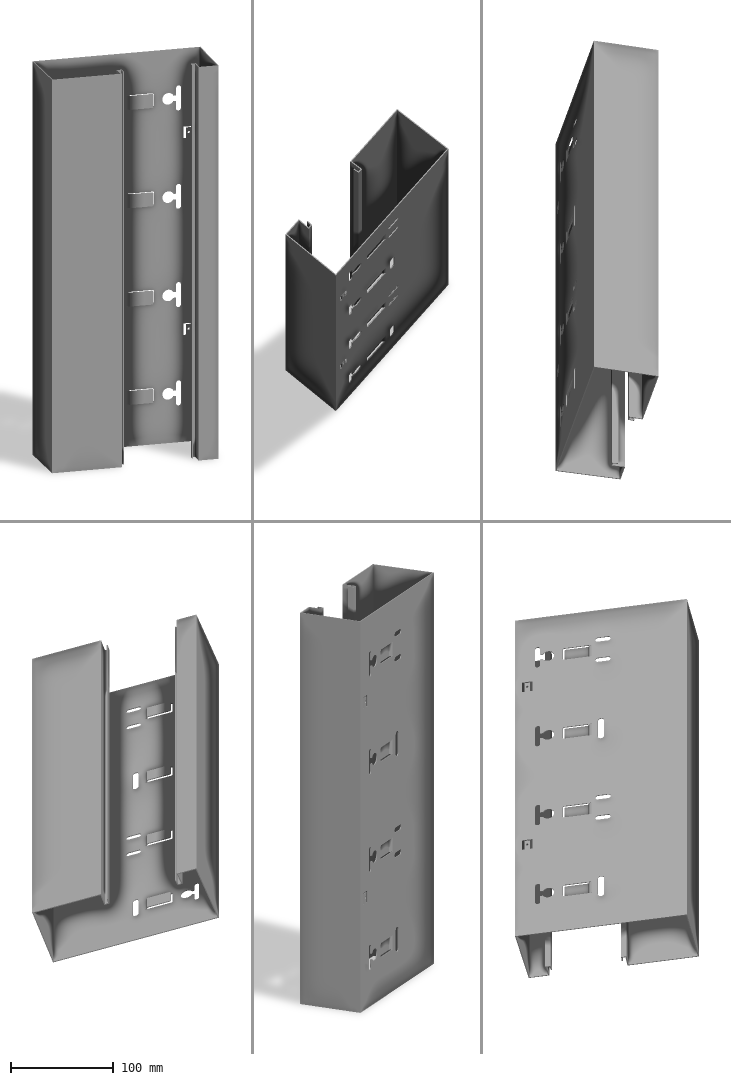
import cadquery as cq
import math

length = 400.0
depth = 65.0
web_width = 170.5
sheet = 1.0
open_side_width = 169.0

upper_lip_y = 64.0
lower_lip_y = -13.5
lip_lean = 0.5
hook_x = 52.0
hook_tip_x = 57.0
hook_rise = 3.0

cut_overrun = 1.0
cut_depth = sheet + 2 * cut_overrun

row_pitch = 100.0
row_count = 4
key_slot_y = 63.0
key_slot_width = 5.0
slot_length = 25.5
key_hole_y = 52.5
key_hole_diameter = 12.0
key_neck_width = 6.0
fixing_slot_width = 6.5
cross_slot_y = -2.0
cross_slot_length = 15.0
cross_slot_width = 5.0
cross_slot_offset = 13.0

window_top_y = 38.0
window_height = 14.5
corner_radius = 1.5
tongue_gap = 1.0
tongue_side_gap = 0.2
tongue_offset = 2.5
joggle_start_y = 9.5
joggle_bend_y = 11.0
joggle_bend_offset = 0.5
joggle_end_y = 13.0
joggle_overlap = 1.0

tab_y = 73.0
tab_offset_z = 35.5
tab_width = 10.5
tab_height = 12.0
tab_side_slit = 2.5
tab_top_slit = 1.0
tab_hole_diameter = 2.5


def thicken(path, thickness):
    """Closed outline of a sheet lying to the left of an open path, with mitred bends."""
    directions = []
    for (x0, y0), (x1, y1) in zip(path, path[1:]):
        run = math.hypot(x1 - x0, y1 - y0)
        directions.append(((x1 - x0) / run, (y1 - y0) / run))
    offset_points = []
    for i, (x, y) in enumerate(path):
        ax, ay = directions[max(i - 1, 0)]
        bx, by = directions[min(i, len(directions) - 1)]
        mitre = thickness / (1 + ax * bx + ay * by)
        offset_points.append((x - (ay + by) * mitre, y + (ax + bx) * mitre))
    return path + offset_points[::-1]


def web_cut(height, width, y, z):
    """Box through the web, centred at (y, z)."""
    return cq.Workplane("XY").box(cut_depth, width, height).translate((sheet / 2, y, z))


def web_plane(y, z):
    return cq.Workplane("YZ", origin=(-cut_overrun, y, z))


def web_slot(slot_span, width, y, z, angle):
    return web_plane(y, z).slot2D(slot_span, width, angle).extrude(cut_depth)


def web_hole(diameter, y, z):
    return web_plane(y, z).circle(diameter / 2).extrude(cut_depth)


def make_body():
    upper_hook = [
        (hook_tip_x, upper_lip_y - hook_rise),
        (hook_x, upper_lip_y - hook_rise + lip_lean),
        (hook_x, upper_lip_y + lip_lean),
        (depth, upper_lip_y),
    ]
    channel = [
        (depth, open_side_width / 2),
        (0, web_width / 2),
        (0, -web_width / 2),
        (depth, -open_side_width / 2),
    ]
    lower_hook = [
        (depth, lower_lip_y),
        (hook_x, lower_lip_y - lip_lean),
        (hook_x, lower_lip_y + hook_rise - lip_lean),
        (hook_tip_x, lower_lip_y + hook_rise),
    ]
    outline = thicken(upper_hook + channel + lower_hook, sheet)
    body = cq.Workplane("XY").polyline(outline).close().extrude(length)
    return body.translate((0, 0, -length / 2))


def keyhole(z):
    neck_run = key_slot_y - key_hole_y
    neck = web_cut(key_neck_width, neck_run, (key_slot_y + key_hole_y) / 2, z)
    slot = web_slot(slot_length, key_slot_width, key_slot_y, z, 90)
    return slot.union(neck).union(web_hole(key_hole_diameter, key_hole_y, z))


def tongue_window(z):
    width = window_top_y - joggle_start_y
    window = web_cut(window_height, width, (window_top_y + joggle_start_y) / 2, z)
    return window.edges("|X and >Y").fillet(corner_radius)


def tongue(z):
    path = [
        (0, joggle_start_y - joggle_overlap),
        (0, joggle_start_y),
        (joggle_bend_offset, joggle_bend_y),
        (tongue_offset, joggle_end_y),
        (tongue_offset, window_top_y - tongue_gap),
    ]
    height = window_height - 2 * tongue_side_gap
    outline = thicken(path, -sheet)
    strip = cq.Workplane("XY").polyline(outline).close().extrude(height)
    return strip.edges("|X and >Y").fillet(corner_radius).translate((0, 0, z - height / 2))


def cross_slots(z):
    upper = web_slot(cross_slot_length, cross_slot_width, cross_slot_y, z + cross_slot_offset, 0)
    return upper.union(upper.translate((0, 0, -2 * cross_slot_offset)))


def fixing_slot(z):
    return web_slot(slot_length, fixing_slot_width, 0, z, 90)


def tab_slit(z):
    side_shift = (tab_width - tab_side_slit) / 2
    slit = web_cut(tab_top_slit, tab_width, tab_y, z + (tab_height - tab_top_slit) / 2)
    for side in (-1, 1):
        slit = slit.union(web_cut(tab_height, tab_side_slit, tab_y + side * side_shift, z))
    return slit.union(web_hole(tab_hole_diameter, tab_y, z))


result = make_body()
for row in range(row_count):
    row_z = ((row_count - 1) / 2 - row) * row_pitch
    result = result.cut(keyhole(row_z)).cut(tongue_window(row_z)).union(tongue(row_z))
    if row % 2 == 0:
        result = result.cut(cross_slots(row_z)).cut(tab_slit(row_z - tab_offset_z))
    else:
        result = result.cut(fixing_slot(row_z))